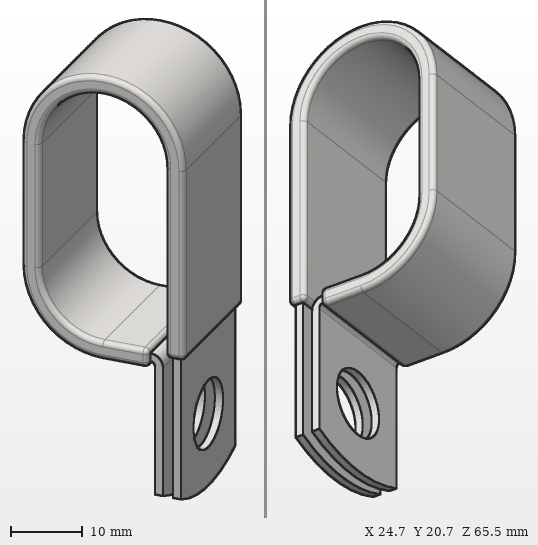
import cadquery as cq

total_height = 65.5
total_width = 24.7
strap_depth = 19.05
strap_thickness = 1.25
cushion_thickness = 0.8
tab_gap = 1.5
straight_length = 19.05
long_side_end = 23.8
short_side_end = 6.9
hole_diameter = 10.35
hole_height = 11.15
tab_end_rise = 2.0

cushion_depth = strap_depth + 2 * cushion_thickness
cushion_wall = strap_thickness + 2 * cushion_thickness
outer_radius = total_width / 2
inner_radius = outer_radius - cushion_wall
upper_center = total_height - outer_radius
lower_center = upper_center - straight_length
loop_bottom = lower_center - outer_radius
long_tab_right = outer_radius - cushion_thickness
long_tab_left = long_tab_right - strap_thickness
short_tab_right = long_tab_left - tab_gap
short_tab_left = short_tab_right - strap_thickness
strap_run_bottom = loop_bottom + cushion_thickness
strap_run_top = strap_run_bottom + strap_thickness
bend_outer_radius = short_tab_right - short_side_end
bend_inner_radius = bend_outer_radius - strap_thickness
bend_center = strap_run_top - bend_outer_radius
strap_overlap = cushion_wall


def profile_plane():
    return cq.Workplane("XZ")


def make_cushion():
    """Open loop with every outer edge and end rounded."""
    loop = (
        profile_plane()
        .moveTo(outer_radius, long_side_end)
        .lineTo(outer_radius, upper_center)
        .threePointArc((0, total_height), (-outer_radius, upper_center))
        .lineTo(-outer_radius, lower_center)
        .radiusArc((0, loop_bottom), -outer_radius)
        .lineTo(short_side_end, loop_bottom)
        .lineTo(short_side_end, loop_bottom + cushion_wall)
        .lineTo(0, loop_bottom + cushion_wall)
        .radiusArc((-inner_radius, lower_center), inner_radius)
        .lineTo(-inner_radius, upper_center)
        .threePointArc((0, upper_center + inner_radius), (inner_radius, upper_center))
        .lineTo(inner_radius, long_side_end)
        .close()
        .extrude(cushion_depth / 2, both=True)
    )
    side_edges = loop.faces("|Y").edges()
    long_end_center = (long_tab_left + strap_thickness / 2, 0, long_side_end)
    short_end_center = (short_side_end, 0, loop_bottom + cushion_wall / 2)
    long_end_edges = loop.faces(cq.NearestToPointSelector(long_end_center)).edges("|Y")
    short_end_edges = loop.faces(cq.NearestToPointSelector(short_end_center)).edges("|Y")
    return side_edges.add(long_end_edges).add(short_end_edges).fillet(cushion_thickness)


def make_long_tab():
    """Straight strap leaving the long side of the loop."""
    return (
        profile_plane()
        .moveTo(long_tab_left, 0)
        .lineTo(long_tab_right, 0)
        .lineTo(long_tab_right, long_side_end + strap_overlap)
        .lineTo(long_tab_left, long_side_end + strap_overlap)
        .close()
        .extrude(strap_depth / 2, both=True)
    )


def make_short_tab():
    """Strap leaving the bottom run and bending down beside the long tab."""
    return (
        profile_plane()
        .moveTo(short_side_end - strap_overlap, strap_run_top)
        .lineTo(short_side_end, strap_run_top)
        .radiusArc((short_tab_right, bend_center), bend_outer_radius)
        .lineTo(short_tab_right, 0)
        .lineTo(short_tab_left, 0)
        .lineTo(short_tab_left, bend_center)
        .radiusArc((short_side_end, strap_run_bottom), -bend_inner_radius)
        .lineTo(short_side_end - strap_overlap, strap_run_bottom)
        .close()
        .extrude(strap_depth / 2, both=True)
    )


def make_tab_envelope():
    """Side outline shared by both tabs, rounded at the tip."""
    half_depth = strap_depth / 2
    return (
        cq.Workplane("YZ")
        .moveTo(-half_depth, tab_end_rise)
        .threePointArc((0, 0), (half_depth, tab_end_rise))
        .lineTo(half_depth, total_height)
        .lineTo(-half_depth, total_height)
        .close()
        .extrude(total_width)
    )


def make_bolt_hole():
    return (
        cq.Workplane("YZ")
        .center(0, hole_height)
        .circle(hole_diameter / 2)
        .extrude(total_width)
    )


tabs = make_long_tab().add(make_short_tab()).combine()
tabs = tabs.intersect(make_tab_envelope()).cut(make_bolt_hole())
result = make_cushion().union(tabs)